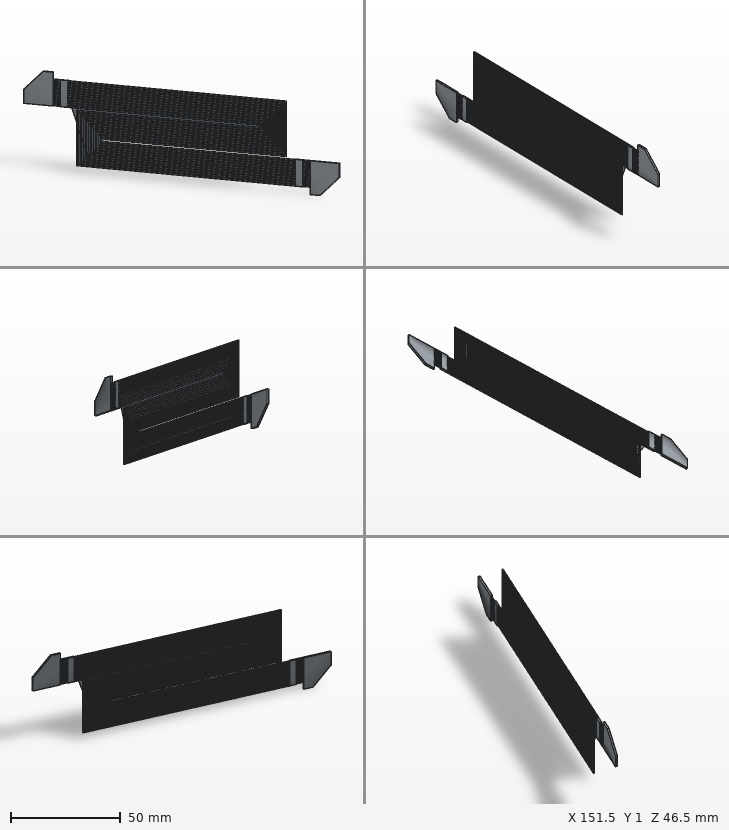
import cadquery as cq

length = 151.5
height = 46.5
thickness = 1.0
half_thickness = thickness / 2

track_count = 11
track_width = 0.71
track_pitch = 1.2
band_gap = 0.9
turn_reach = 50.5

plate_length = 14.0
plate_chamfer = 9.2
pin_length = 3.6
bar_length = 3.5

band_height = (track_count - 1) * track_pitch + track_width
band_pitch = band_height + band_gap
upper_band_bottom = band_height / 2 + band_gap

plate_left = -length / 2
plate_right = plate_left + plate_length
bar_left = plate_right + pin_length
bar_right = bar_left + bar_length


def track_height(index):
    """Centreline Z of a track in the upper band, counted from the top."""
    return upper_band_bottom + band_height - track_width / 2 - index * track_pitch


def track(index):
    """One S-shaped conductor with mitred corners, filling the front half of the thickness."""
    inner_index = track_count - 1 - index
    upper_z = track_height(index)
    middle_z = track_height(inner_index) - band_pitch
    lower_z = upper_z - 2 * band_pitch
    right_x = turn_reach - track_width / 2 - index * track_pitch
    left_x = -turn_reach + track_width / 2 + inner_index * track_pitch

    def side(offset):
        return [
            (bar_left, upper_z + offset),
            (right_x + offset, upper_z + offset),
            (right_x + offset, middle_z - offset),
            (left_x + offset, middle_z - offset),
            (left_x + offset, lower_z + offset),
            (-bar_left, lower_z + offset),
        ]

    outline = side(track_width / 2) + side(-track_width / 2)[::-1]
    return cq.Workplane("XZ").polyline(outline).close().extrude(half_thickness)


def terminal():
    """The upper left plate, pins and clamp bar."""
    plate_top = height / 2
    plate = (
        cq.Workplane("XZ")
        .moveTo(plate_left, upper_band_bottom)
        .lineTo(plate_right, upper_band_bottom)
        .lineTo(plate_right, plate_top)
        .lineTo(plate_left + plate_chamfer, plate_top)
        .lineTo(plate_left, plate_top - plate_chamfer)
        .close()
        .extrude(half_thickness, both=True)
    )
    bar = (
        cq.Workplane("XZ")
        .moveTo((bar_left + bar_right) / 2, upper_band_bottom + band_height / 2)
        .rect(bar_length, band_height)
        .extrude(half_thickness, both=True)
    )
    pin_centres = [
        ((plate_right + bar_left) / 2, track_height(index)) for index in range(track_count)
    ]
    pins = (
        cq.Workplane("XZ")
        .pushPoints(pin_centres)
        .rect(pin_length, track_width)
        .extrude(-half_thickness)
    )
    return plate.union(bar).union(pins)


upper_terminal = terminal()
lower_terminal = upper_terminal.rotate((0, 0, 0), (0, 1, 0), 180)

body = upper_terminal.union(lower_terminal)
for track_index in range(track_count):
    body = body.union(track(track_index))

result = body.clean()